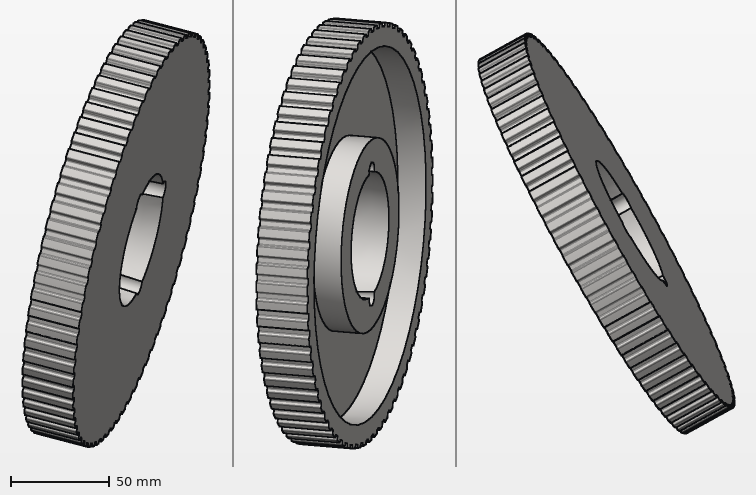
import cadquery as cq
import math

width = 27.2
outer_radius = 108.8

tooth_count = 72
tooth_depth = 2.0
gap_root_width = 3.0
gap_flank_angle = 20.0
tooth_rounding = 0.5

hub_radius = 50.0
rim_inner_radius = 96.8
recess_depth = 15.0

bore_front_radius = 32.6
bore_half_angle = 4.5

through_hole_radius = 4.5
through_hole_y = -3.0
through_hole_z = 33.3
blind_hole_radius = 5.7
blind_hole_y = 33.3
blind_hole_depth = 17.0

front_x = -width / 2
back_x = width / 2


def disc(radius, start_x, length, y=0.0, z=0.0):
    """Cylinder running towards +X from start_x."""
    return cq.Workplane("YZ", origin=(start_x, y, z)).circle(radius).extrude(length)


def polar_point(radius, angle):
    """Point in the YZ plane, with the angle in radians from +Y towards +Z."""
    return (radius * math.cos(angle), radius * math.sin(angle))


def toothed_disc():
    """Disc with slanted-flank gaps, one tooth centred on +Y, tips and roots rounded."""
    pitch_angle = 2 * math.pi / tooth_count
    root_radius = outer_radius - tooth_depth
    root_half_width = gap_root_width / 2
    tip_half_width = root_half_width + tooth_depth * math.tan(math.radians(gap_flank_angle))
    root_half_angle = math.asin(root_half_width / root_radius)
    tip_half_angle = math.asin(tip_half_width / outer_radius)

    outline = cq.Workplane("YZ", origin=(front_x, 0, 0))
    outline = outline.moveTo(*polar_point(outer_radius, tip_half_angle - pitch_angle / 2))
    for tooth in range(tooth_count):
        tooth_angle = tooth * pitch_angle
        gap_angle = tooth_angle + pitch_angle / 2
        tooth_middle = polar_point(outer_radius, tooth_angle)
        tooth_end = polar_point(outer_radius, gap_angle - tip_half_angle)
        root_start = polar_point(root_radius, gap_angle - root_half_angle)
        root_middle = polar_point(root_radius, gap_angle)
        root_end = polar_point(root_radius, gap_angle + root_half_angle)
        next_tooth_start = polar_point(outer_radius, gap_angle + tip_half_angle)
        outline = outline.threePointArc(tooth_middle, tooth_end).lineTo(*root_start)
        outline = outline.threePointArc(root_middle, root_end).lineTo(*next_tooth_start)
    return outline.close().extrude(width).edges("|X").fillet(tooth_rounding)


def recess():
    """Ring between hub and rim, open at the -X face."""
    return disc(rim_inner_radius, front_x, recess_depth).cut(disc(hub_radius, front_x, recess_depth))


def tapered_bore():
    """Cone along X, smallest at the -X face."""
    bore_back_radius = bore_front_radius + width * math.tan(math.radians(bore_half_angle))
    half_section = [(front_x, 0), (front_x, bore_front_radius), (back_x, bore_back_radius), (back_x, 0)]
    return cq.Workplane("XY").polyline(half_section).close().revolve(360, (0, 0, 0), (1, 0, 0))


result = toothed_disc().cut(recess()).cut(tapered_bore())

for side in (1, -1):
    result = result.cut(disc(through_hole_radius, front_x, width, through_hole_y, side * through_hole_z))

result = result.cut(disc(blind_hole_radius, back_x - blind_hole_depth, blind_hole_depth, blind_hole_y))